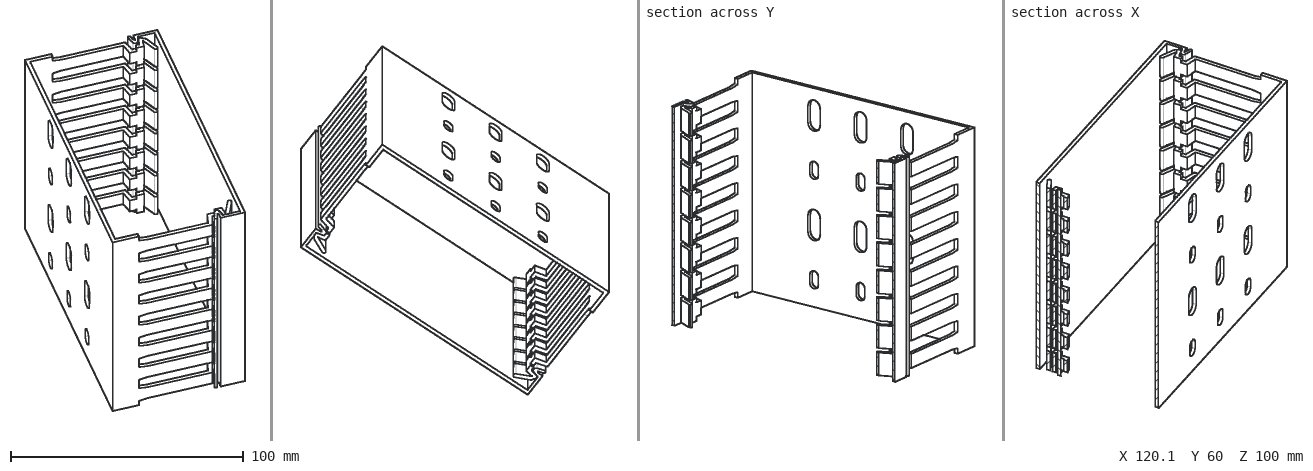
import cadquery as cq

WIDTH = 120.1
DEPTH = 60.0
LENGTH = 100.0
HALF_WIDTH = WIDTH / 2
HALF_LENGTH = LENGTH / 2
COVER_FACE_Y = DEPTH / 2
BASE_FACE_Y = -DEPTH / 2

WALL = 1.8
CLIP_INNER = 7.0
CHANNEL_FLOOR = 5.2
CLIP_TOP = 8.4
CLIP_BOTTOM = 14.9
FLAP_END = [(9.8, 2.8), (10.6, 4.3)]
FLAP_END_RADIUS = 0.8

COVER_WALL = 1.8
COVER_SIDE = 1.5
COVER_SKIRT_DEPTH = 11.0
BEAD_TIP = (7.8, 11.4)
BEAD_TIP_RADIUS = 1.2
BEAD_EDGE = [(0, 13.9), (0, 12.5)]
BEAD_EDGE_RADIUS = 0.6
BEAD_GROOVE = [(2.9, 11.6), (2.9, COVER_SKIRT_DEPTH)]
BEAD_GROOVE_RADIUS = 0.2

FINGER_COUNT = 8
FINGER_PITCH = LENGTH / FINGER_COUNT
SLOT_WIDTH = 6.0
SLOT_END_WIDTH = 4.9
SLOT_TAPER_LENGTH = 3.8
SLOT_CORNER_RADIUS = 0.4
SLOT_FLOOR_HEIGHT = 12.0
CLIP_GAP = 2.0
CLIP_HEAD_DEPTH = (CLIP_TOP + CLIP_BOTTOM) / 2

HOLE_PITCH_X = 25.0
HOLE_COLUMNS = 3
HOLE_ROW_PAIRS = 2
HOLE_PITCH_Z = LENGTH / (2 * HOLE_ROW_PAIRS)
LARGE_HOLE_LENGTH = 14.0
LARGE_HOLE_WIDTH = 6.5
SMALL_HOLE_LENGTH = 8.0
SMALL_HOLE_WIDTH = 4.6


def profile_point(inset, drop):
    """X and Y of a -X side point, from its inset from the side face and drop from the cover face."""
    return (inset - HALF_WIDTH, COVER_FACE_Y - drop)


def symmetric_extrusion(half_outline):
    """Extrude the whole profile along Z from its -X half, given as (inset, drop) points."""
    left = [profile_point(inset, drop) for inset, drop in half_outline]
    right = [(-x, y) for x, y in reversed(left)]
    return (
        cq.Workplane("XY")
        .workplane(offset=-HALF_LENGTH)
        .polyline(left + right)
        .close()
        .extrude(LENGTH)
    )


def round_corners(body, corners, radius):
    """Round the Z edges at the given profile corners, on both sides of the duct."""
    edges = []
    for inset, drop in corners:
        x, y = profile_point(inset, drop)
        for side_x in (x, -x):
            nearest = cq.selectors.NearestToPointSelector((side_x, y, 0))
            edges += body.edges("|Z").edges(nearest).vals()
    return body.newObject(edges).fillet(radius)


def finger_slots():
    """Slots through both side walls, one between each pair of fingers and half a slot at each end."""
    head_y = COVER_FACE_Y - CLIP_HEAD_DEPTH
    floor_y = BASE_FACE_Y + SLOT_FLOOR_HEIGHT
    taper_y = floor_y + SLOT_TAPER_LENGTH
    half_slot = SLOT_WIDTH / 2
    half_end = SLOT_END_WIDTH / 2
    half_gap = CLIP_GAP / 2
    half_outline = [
        (COVER_FACE_Y, half_gap),
        (head_y, half_gap),
        (head_y, half_slot),
        (taper_y, half_slot),
        (floor_y, half_end),
    ]
    mirrored = [(y, -z) for y, z in reversed(half_outline)]
    slot = (
        cq.Workplane("YZ")
        .polyline(half_outline + mirrored)
        .close()
        .extrude(HALF_WIDTH, both=True)
        .edges("|X")
        .edges("<Y")
        .fillet(SLOT_CORNER_RADIUS)
    )
    return [
        slot.translate((0, 0, index * FINGER_PITCH - HALF_LENGTH))
        for index in range(FINGER_COUNT + 1)
    ]


def mounting_holes(length, width, top_row_z):
    """Elongated holes through the base: a grid of columns in X and rows two pitches apart in Z."""
    first_x = -HOLE_PITCH_X * (HOLE_COLUMNS - 1) / 2
    centres = [
        (first_x + column * HOLE_PITCH_X, top_row_z - row * 2 * HOLE_PITCH_Z)
        for column in range(HOLE_COLUMNS)
        for row in range(HOLE_ROW_PAIRS)
    ]
    return (
        cq.Workplane("XZ", origin=(0, BASE_FACE_Y, 0))
        .pushPoints(centres)
        .slot2D(length, width, 90)
        .extrude(-WALL)
    )


def make_trunk():
    half_outline = [
        (0, DEPTH),
        (0, 14.7),
        (CHANNEL_FLOOR, 13.2),
        (CHANNEL_FLOOR, 10.0),
        (COVER_SIDE, 9.1),
        (COVER_SIDE, 7.7),
        (2.0, 7.2),
        (2.6, 6.1),
        *FLAP_END,
        (3.4, 7.8),
        (CLIP_INNER, CLIP_TOP),
        (CLIP_INNER, CLIP_BOTTOM),
        (WALL, 16.1),
        (WALL, DEPTH - WALL),
    ]
    trunk = symmetric_extrusion(half_outline)
    trunk = round_corners(trunk, FLAP_END, FLAP_END_RADIUS)
    for slot in finger_slots():
        trunk = trunk.cut(slot)
    top_row_z = HALF_LENGTH - HOLE_PITCH_Z / 2
    trunk = trunk.cut(mounting_holes(LARGE_HOLE_LENGTH, LARGE_HOLE_WIDTH, top_row_z))
    return trunk.cut(mounting_holes(SMALL_HOLE_LENGTH, SMALL_HOLE_WIDTH, top_row_z - HOLE_PITCH_Z))


def make_cover():
    half_outline = [
        (COVER_SIDE, COVER_WALL),
        (COVER_SIDE, 9.4),
        BEAD_TIP,
        *BEAD_EDGE,
        *BEAD_GROOVE,
        (0, COVER_SKIRT_DEPTH),
        (0, 0),
    ]
    cover = symmetric_extrusion(half_outline)
    cover = round_corners(cover, [BEAD_TIP], BEAD_TIP_RADIUS)
    cover = round_corners(cover, BEAD_EDGE, BEAD_EDGE_RADIUS)
    return round_corners(cover, BEAD_GROOVE, BEAD_GROOVE_RADIUS)


trunk = make_trunk()
cover = make_cover()

result = cq.Compound.makeCompound([trunk.val(), cover.val()])